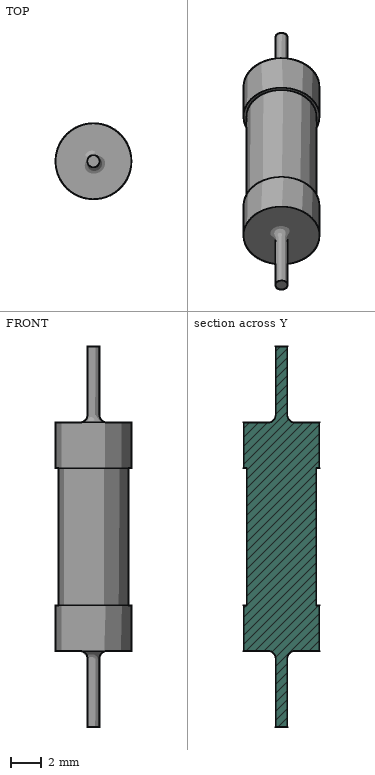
import cadquery as cq

total_length = 25.0
cap_diameter = 5.0
cap_length = 3.0
body_diameter = 4.6
lead_diameter = 0.8
lead_length = 5.0
lead_fillet_radius = 0.5

lead_tip = total_length / 2
cap_outer_face = lead_tip - lead_length
cap_inner_face = cap_outer_face - cap_length


def cylinder(diameter, bottom, top):
    """Solid cylinder on the Z axis between two heights."""
    return cq.Workplane("XY").workplane(offset=bottom).circle(diameter / 2).extrude(top - bottom)


def upper_lead():
    """Wire lead with a concave flare where it leaves the cap."""
    lead_radius = lead_diameter / 2
    flare_radius = lead_radius + lead_fillet_radius
    flare_top = cap_outer_face + lead_fillet_radius
    return (
        cq.Workplane("XZ")
        .moveTo(0, cap_inner_face)
        .lineTo(flare_radius, cap_inner_face)
        .lineTo(flare_radius, cap_outer_face)
        .radiusArc((lead_radius, flare_top), lead_fillet_radius)
        .lineTo(lead_radius, lead_tip)
        .lineTo(0, lead_tip)
        .close()
        .revolve(360, (0, 0, 0), (0, 1, 0))
    )


body = cylinder(body_diameter, -cap_inner_face, cap_inner_face)
upper_end = cylinder(cap_diameter, cap_inner_face, cap_outer_face).union(upper_lead())
lower_end = upper_end.mirror("XY")

result = body.union(upper_end).union(lower_end)